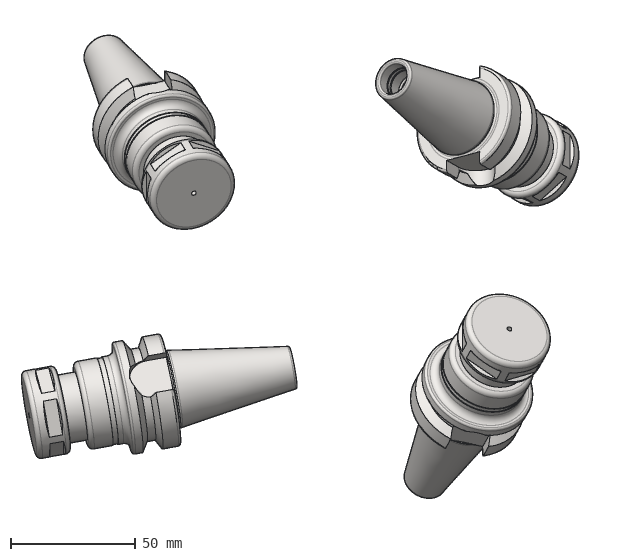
import cadquery as cq
import math

length = 108.4

gauge_x = 48.5
gauge_radius = 15.88
land_end_x = 49.2
taper_slope = 7 / 48
small_radius = gauge_radius - gauge_x * taper_slope
small_end_round = 0.9

flange_x = 50.4
front_rim_end_x = 57.9
groove_start_x = 60.0
groove_end_x = 63.4
rear_rim_x = 66.0
flange_end_x = 70.1
flange_radius = 23.0
v_groove_radius = 19.0
flange_front_round = 1.1
flange_rear_round = 1.0
flange_root_round = 2.9

undercut_depth = 0.1
undercut_round = 0.8
undercut_inner_radius = 15.6
undercut_outer_radius = 17.5

ring_groove_x = 75.2
ring_groove_end_x = 77.4
collar_end_x = 87.2
collar_radius = 18.0
ring_groove_radius = 17.7
shank_radius = 14.0
nut_x = 94.5
nut_radius = collar_radius
rear_round = 2.1

slot_count = 2
slot_width = 16.0
slot_floor = 16.3
slot_end_x = 67.1

flat_count = 6
flat_apothem = 16.4
flat_start_x = 97.5
flat_end_x = 102.9
flat_wall_angle = 20.0

mouth_round = 0.8
guide_radius = 6.45
guide_end_x = 5.3
seat_radius = 6.23
seat_start_x = 5.7
seat_end_x = 7.3
relief_radius = 6.02
relief_start_x = 7.7
relief_end_x = 13.0
thread_radius = 5.26
thread_start_x = 13.8
thread_end_x = 23.8
pilot_radius = 2.5
pilot_end_x = 30.4
coolant_radius = 1.0

clearance = 1.1


def line_and_arc(profile, center_x, center_radius, radius, start_angle, end_angle):
    """Draw a line to the start of an arc, then the arc itself; angles in degrees from +X."""

    def arc_point(degrees):
        angle = math.radians(degrees)
        return (center_x + radius * math.cos(angle), center_radius + radius * math.sin(angle))

    middle_angle = (start_angle + end_angle) / 2
    start = arc_point(start_angle)
    return profile.lineTo(*start).threePointArc(arc_point(middle_angle), arc_point(end_angle))


def front_corner(profile, x, radius, size):
    """Round the outer corner of a face that looks toward -X."""
    return line_and_arc(profile, x + size, radius - size, size, 180, 90)


def rear_corner(profile, x, radius, size):
    """Round the outer corner of a face that looks toward +X."""
    return line_and_arc(profile, x - size, radius - size, size, 90, 0)


def revolve_about_x(profile):
    return profile.close().revolve(360, (0, 0, 0), (1, 0, 0))


def turned_body():
    profile = cq.Workplane("XY")

    profile = front_corner(profile, 0, small_radius, small_end_round)
    profile = profile.lineTo(gauge_x, gauge_radius).lineTo(land_end_x, gauge_radius)

    undercut_center_x = flange_x + undercut_depth - undercut_round
    undercut_center_radius = undercut_inner_radius + undercut_round
    profile = line_and_arc(
        profile, undercut_center_x, undercut_center_radius, undercut_round, 270, 360
    )
    profile = profile.lineTo(flange_x, undercut_outer_radius)

    profile = front_corner(profile, flange_x, flange_radius, flange_front_round)
    profile = (
        profile.lineTo(front_rim_end_x, flange_radius)
        .lineTo(groove_start_x, v_groove_radius)
        .lineTo(groove_end_x, v_groove_radius)
        .lineTo(rear_rim_x, flange_radius)
    )
    profile = rear_corner(profile, flange_end_x, flange_radius, flange_rear_round)
    root_x = flange_end_x + flange_root_round
    root_radius = collar_radius + flange_root_round
    profile = line_and_arc(profile, root_x, root_radius, flange_root_round, 180, 270)

    profile = (
        profile.lineTo(ring_groove_x, collar_radius)
        .lineTo(ring_groove_x, ring_groove_radius)
        .lineTo(ring_groove_end_x, ring_groove_radius)
        .lineTo(ring_groove_end_x, collar_radius)
    )
    profile = rear_corner(profile, collar_end_x, collar_radius, rear_round)

    profile = profile.lineTo(collar_end_x, shank_radius).lineTo(nut_x, shank_radius)
    profile = front_corner(profile, nut_x, nut_radius, rear_round)
    profile = rear_corner(profile, length, nut_radius, rear_round)
    return revolve_about_x(profile.lineTo(length, 0))


def bore():
    profile = cq.Workplane("XY")
    profile = line_and_arc(
        profile, mouth_round, guide_radius + mouth_round, mouth_round, 180, 270
    )
    profile = (
        profile.lineTo(guide_end_x, guide_radius)
        .lineTo(seat_start_x, seat_radius)
        .lineTo(seat_end_x, seat_radius)
        .lineTo(relief_start_x, relief_radius)
        .lineTo(relief_end_x, relief_radius)
        .lineTo(thread_start_x, thread_radius)
        .lineTo(thread_end_x, thread_radius)
        .lineTo(thread_end_x, pilot_radius)
        .lineTo(pilot_end_x, pilot_radius)
        .lineTo(pilot_end_x, coolant_radius)
        .lineTo(length, coolant_radius)
        .lineTo(length, 0)
    )
    return revolve_about_x(profile)


def drive_slot():
    half_width = slot_width / 2
    open_end_x = flange_x - clearance
    round_center_x = slot_end_x - half_width
    return (
        cq.Workplane("XY", origin=(0, 0, slot_floor))
        .moveTo(open_end_x, -half_width)
        .lineTo(round_center_x, -half_width)
        .threePointArc((slot_end_x, 0), (round_center_x, half_width))
        .lineTo(open_end_x, half_width)
        .close()
        .extrude(flange_radius - slot_floor + clearance)
    )


def wrench_flat():
    height = nut_radius - flat_apothem + clearance
    spread = height * math.tan(math.radians(flat_wall_angle))
    return (
        cq.Workplane("XZ")
        .moveTo(flat_start_x, flat_apothem)
        .lineTo(flat_end_x, flat_apothem)
        .lineTo(flat_end_x + spread, flat_apothem + height)
        .lineTo(flat_start_x - spread, flat_apothem + height)
        .close()
        .extrude(nut_radius, both=True)
    )


def cut_around_x(body, tool, count, first_angle):
    for i in range(count):
        angle = first_angle + i * 360 / count
        body = body.cut(tool.rotate((0, 0, 0), (1, 0, 0), angle))
    return body


result = turned_body().cut(bore())
result = cut_around_x(result, drive_slot(), slot_count, 0)
result = cut_around_x(result, wrench_flat(), flat_count, 90)